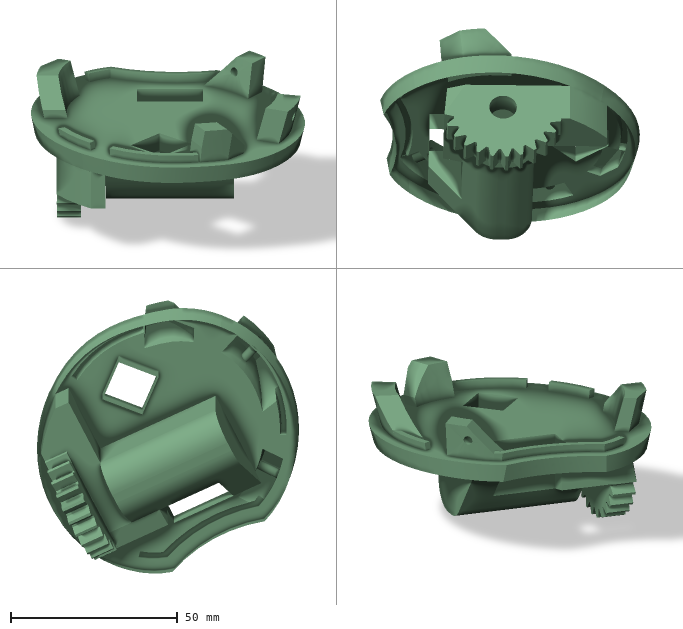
import cadquery as cq
import math

plate_thickness = 5.5
plate_top_semi = (43.0, 38.7)
plate_bottom_semi = (41.65, 37.9)
plate_bottom_centre = (-0.3, 0.2)
right_flat = (-33, 0.98)
notch_flat = (130, 0.95)

notch_centre = (-50.95, 61.1)
notch_radius = 45.4
notch_taper = 1.1

clip_top = 16.35
clip_height = clip_top - plate_thickness
ring_outer_bottom = (39.4, 35.0)
ring_outer_top = (41.7, 36.7)
wide_ring_outer_top = (42.4, 36.9)
ring_inner_bottom = (32.2, 28.3)
ring_inner_top = (35.2, 30.1)
flat_half_width_bottom = 36.1
flat_half_width_top = 38.4
low_end_height = 2.8
toe_height = 5.2
toe_length = 0.4
back_slant_run = 10.2
side_slant_run = 8.0
back_end, back_slant, back_angle = (7.3, 32.1), (0.3, 33.2), 95.3
left_end, left_end_angle = (-36.6, -5.85), 198.8
left_slant, left_slant_angle = (-31.8, -18.8), 220.7
right_end, right_end_angle = (31.0, -19.7), -21.8
right_slant, right_slant_angle = (34.7, -14.2), -19.7
wide_end, wide_end_angle = (38.3, 6.5), 18.8
wide_slant, wide_slant_angle = (32.6, 18.1), 28.0
back_hole = (0.3, 31.0)
wide_hole = (31.0, 12.5)
clip_hole_radius = 1.4
clip_hole_z = 11.7

rail_height = 2.6
rail_width = 2.1
rail_notch_gap = 3.35
rail_notch_taper = 0.5
rail_spans = [(103, 170.8), (41.4, 65.7), (-77.6, -34), (-114, -89.6)]

square_size = 12.9
square_centre = (12.8, -17.4)

housing_turn = 41.7
window_u = (-9.4, 10.5)
window_v = (13.3, 23.2)
front_u = -33.4
slab_back_u = -18.7
slab_v_min = -29.8
slab_v_top = 18.4
slab_v_bottom = 19.3
slab_side_depth = 10.6
slab_depth = 11.9
corner_cut_u = 2.1
corner_cut_v = 5.4
body_back_u = 19.9
body_v_min = -8.1
body_depth = 20.0
body_edge_radius = 8.1

gear_width = 7.3
gear_v = 1.6
gear_z = -8.0
tip_radius = 18.0
root_radius = 15.2
tooth_count = 25
first_tooth = -5
last_tooth = 6
tooth_phase = -3.7
tooth_tip_half = 0.4
tooth_root_half = 1.55
tooth_sink = 0.9
bore_radius = 4.1
bore_depth = 7.3

reach = 68.85


def oval(z, semi, centre=(0, 0)):
    """Closed oval wire at height z: two plain quarter ellipses and two flattened quarters."""
    a, b = semi
    middle = cq.Vector(*centre, z)

    def at(x, y):
        return middle + cq.Vector(x, y, 0)

    def flattened(angle, ratio):
        turn = math.radians(angle)
        return at(ratio * a * math.cos(turn), ratio * b * math.sin(turn))

    left, right = at(-a, 0), at(a, 0)
    front, back = at(0, -b), at(0, b)
    to_right, to_back = cq.Vector(1, 0, 0), cq.Vector(0, 1, 0)
    edges = [
        cq.Edge.makeEllipse(a, b, middle, angle1=0, angle2=90),
        cq.Edge.makeSpline([back, flattened(*notch_flat), left], [-to_right, -to_back]),
        cq.Edge.makeEllipse(a, b, middle, angle1=180, angle2=270),
        cq.Edge.makeSpline([front, flattened(*right_flat), right], [to_right, to_back]),
    ]
    return cq.Wire.assembleEdges(edges)


def tapered_oval(bottom_semi, top_semi, bottom_z, top_z, bottom_centre=(0, 0)):
    wires = [oval(bottom_z, bottom_semi, bottom_centre), oval(top_z, top_semi)]
    return cq.Workplane(cq.Solid.makeLoft(wires, True))


def notch_cone(bottom_radius, top_radius, bottom_z, top_z):
    cone = cq.Solid.makeCone(bottom_radius, top_radius, top_z - bottom_z)
    return cq.Workplane(cone.moved(cq.Location(cq.Vector(*notch_centre, bottom_z))))


def make_plate():
    disc = tapered_oval(plate_bottom_semi, plate_top_semi, 0, plate_thickness, plate_bottom_centre)
    notch = notch_cone(notch_radius + notch_taper, notch_radius, 0, plate_thickness)
    return disc.cut(notch)


def rail_outline(inset):
    """Tapered block inside the rim and the notch, its side walls set in by `inset`."""
    top_z = plate_thickness + rail_height
    share = rail_height / clip_height
    bottom_semi = [low - inset for low in ring_outer_bottom]
    top_semi = [
        low + share * (high - low) - inset
        for low, high in zip(ring_outer_bottom, ring_outer_top)
    ]
    radius = notch_radius + rail_notch_gap + inset
    block = tapered_oval(bottom_semi, top_semi, plate_thickness, top_z)
    return block.cut(notch_cone(radius + rail_notch_taper, radius, plate_thickness, top_z))


def sector(start, end):
    angles = [start, (start + end) / 2, end]
    corners = [
        (reach * math.cos(math.radians(angle)), reach * math.sin(math.radians(angle)))
        for angle in angles
    ]
    return cq.Workplane().polyline([(0, 0)] + corners).close().extrude(reach)


def make_rails():
    band = rail_outline(0).cut(rail_outline(rail_width))
    return [band.intersect(sector(start, end)) for start, end in rail_spans]


def prism_along(point, angle, profile):
    """Prism running outward at `angle` through `point`; its profile is (sideways, up)."""
    turn = math.radians(angle)
    plane = cq.Plane(
        origin=(*point, plate_thickness),
        xDir=(-math.sin(turn), math.cos(turn), 0),
        normal=(math.cos(turn), math.sin(turn), 0),
    )
    return cq.Workplane(plane).polyline(profile).close().extrude(2 * clip_height, both=True)


def make_clip(
    end, end_angle, slant, slant_angle, slant_run, low_end=0.0, toe=0.0, outer_top=ring_outer_top
):
    """Piece of the clip ring with an upright end and a slanted end.

    The slant falls to `low_end` above the plate. The upright end may have a toe, an upright
    lower part standing out from the leaning face above it.
    """
    outer = tapered_oval(ring_outer_bottom, outer_top, plate_thickness, clip_top)
    inner = tapered_oval(ring_inner_bottom, ring_inner_top, plate_thickness, clip_top)
    length = 3 * clip_height
    beyond_end = [(0, clip_height), (length, clip_height), (length, 0), (-toe, 0)]
    if toe > 0:
        beyond_end.append((-toe, toe_height))
    to_slant = [(-length, 0), (-length, clip_height), (0, clip_height), (slant_run, low_end)]
    if low_end > 0:
        to_slant.append((slant_run, 0))
    clip = outer.cut(inner).intersect(prism_along(end, end_angle, beyond_end))
    return clip.intersect(prism_along(slant, slant_angle, to_slant))


def between_flats(clip):
    """Trims a clip by the two leaning flats on the -X and +X sides."""
    low, high = flat_half_width_bottom, flat_half_width_top
    profile = [(-low, plate_thickness), (low, plate_thickness), (high, clip_top), (-high, clip_top)]
    return clip.intersect(cq.Workplane("XZ").polyline(profile).close().extrude(reach, both=True))


def drill(clip, point, angle):
    turn = math.radians(angle)
    plane = cq.Plane(
        origin=(*point, clip_hole_z), xDir=(0, 0, 1), normal=(math.cos(turn), math.sin(turn), 0)
    )
    hole = cq.Workplane(plane).circle(clip_hole_radius).extrude(clip_height, both=True)
    return clip.cut(hole)


def make_clips():
    back = make_clip(back_end, back_angle, back_slant, back_angle, slant_run=back_slant_run)
    left = make_clip(
        left_end,
        left_end_angle,
        left_slant,
        left_slant_angle,
        slant_run=side_slant_run,
        low_end=low_end_height,
    )
    right = make_clip(
        right_end,
        right_end_angle,
        right_slant,
        right_slant_angle,
        slant_run=side_slant_run,
        low_end=low_end_height,
        toe=toe_length,
    )
    wide = make_clip(
        wide_end,
        wide_end_angle,
        wide_slant,
        wide_slant_angle,
        slant_run=clip_height,
        outer_top=wide_ring_outer_top,
    )
    return [
        drill(back, back_hole, back_angle),
        between_flats(left),
        between_flats(right),
        drill(wide, wide_hole, wide_end_angle),
    ]


def profile_prism(points, start_u, end_u):
    """Prism along u from a (v, z) outline."""
    outline = cq.Workplane("YZ", origin=(start_u, 0, 0)).polyline(points).close()
    return outline.extrude(end_u - start_u)


def make_body():
    """Box with one sloped side, kept full height only as a gusset behind the window."""
    inner_v, outer_v = window_v
    slope = (outer_v - inner_v) / slab_depth
    points = [
        (body_v_min, 0),
        (outer_v, 0),
        (outer_v - slope * body_depth, -body_depth),
        (body_v_min, -body_depth),
    ]
    body = profile_prism(points, slab_back_u, body_back_u)
    body = body.edges("|X and <Z").fillet(body_edge_radius)
    opening = [(inner_v, 0), (reach, 0), (reach, -slab_depth), (inner_v, -slab_depth)]
    return body.cut(profile_prism(opening, slab_back_u, window_u[1]))


def corner_cut():
    """Slim tetrahedron taken off the front corner beside the gear."""
    tip = cq.Vector(front_u, slab_v_bottom, -slab_side_depth)
    corner = cq.Vector(front_u, slab_v_top, 0)
    along_front = cq.Vector(front_u, slab_v_top - corner_cut_v, 0)
    along_side = cq.Vector(front_u + corner_cut_u, slab_v_top, 0)
    sides = [
        (corner, along_front, along_side),
        (corner, along_front, tip),
        (corner, along_side, tip),
        (along_front, along_side, tip),
    ]
    faces = [cq.Face.makeFromWires(cq.Wire.makePolygon(side, close=True)) for side in sides]
    return cq.Workplane(cq.Solid.makeSolid(cq.Shell.makeShell(faces)))


def make_slab():
    """Thick front wall, with a narrower part reaching back to the plate window."""
    inner_v = window_v[0]
    slab_edge = [(slab_v_top, 0), (slab_v_bottom, -slab_side_depth), (inner_v, -slab_depth)]
    wall = profile_prism([(slab_v_min, 0)] + slab_edge + [(slab_v_min, -slab_depth)], front_u, slab_back_u)
    arm = profile_prism([(body_v_min, 0)] + slab_edge + [(body_v_min, -slab_depth)], front_u, window_u[0])
    return wall.union(arm)


def make_gear():
    work = cq.Workplane("YZ", origin=(front_u, 0, 0))
    gear = work.center(gear_v, gear_z).circle(root_radius).extrude(gear_width)
    allowed = [
        (-reach, 0),
        (slab_v_top, 0),
        (slab_v_bottom, -slab_side_depth),
        (slab_v_bottom, -reach),
        (-reach, -reach),
    ]
    sunk_radius = root_radius - tooth_sink
    tooth = profile_prism(
        [
            (-tooth_root_half, -sunk_radius),
            (-tooth_root_half, -root_radius),
            (-tooth_tip_half, -tip_radius),
            (tooth_tip_half, -tip_radius),
            (tooth_root_half, -root_radius),
            (tooth_root_half, -sunk_radius),
        ],
        front_u,
        front_u + gear_width,
    )
    for index in range(first_tooth, last_tooth + 1):
        angle = tooth_phase + index * 360 / tooth_count
        turned = tooth.rotate((0, 0, 0), (1, 0, 0), angle)
        gear = gear.union(turned.translate((0, gear_v, gear_z)))
    return gear.intersect(profile_prism(allowed, front_u, front_u + gear_width))


def make_housing():
    housing = make_slab().union(make_body()).union(make_gear()).cut(corner_cut())
    bore = cq.Workplane("YZ", origin=(front_u, 0, 0)).center(gear_v, gear_z)
    housing = housing.cut(bore.circle(bore_radius).extrude(bore_depth))
    housing = housing.rotate((0, 0, 0), (0, 0, 1), housing_turn)
    under_plate = cq.Workplane().center(*plate_bottom_centre).ellipse(*plate_bottom_semi).extrude(-reach)
    return housing.intersect(under_plate)


def make_windows():
    square = cq.Workplane().center(*square_centre).rect(square_size, square_size)
    (start_u, end_u), (start_v, end_v) = window_u, window_v
    slot = cq.Workplane().center((start_u + end_u) / 2, (start_v + end_v) / 2)
    slot = slot.rect(end_u - start_u, end_v - start_v).extrude(plate_thickness)
    return square.extrude(plate_thickness).union(slot.rotate((0, 0, 0), (0, 0, 1), housing_turn))


result = make_plate().cut(make_windows()).union(make_housing())
for feature in make_rails() + make_clips():
    result = result.union(feature)